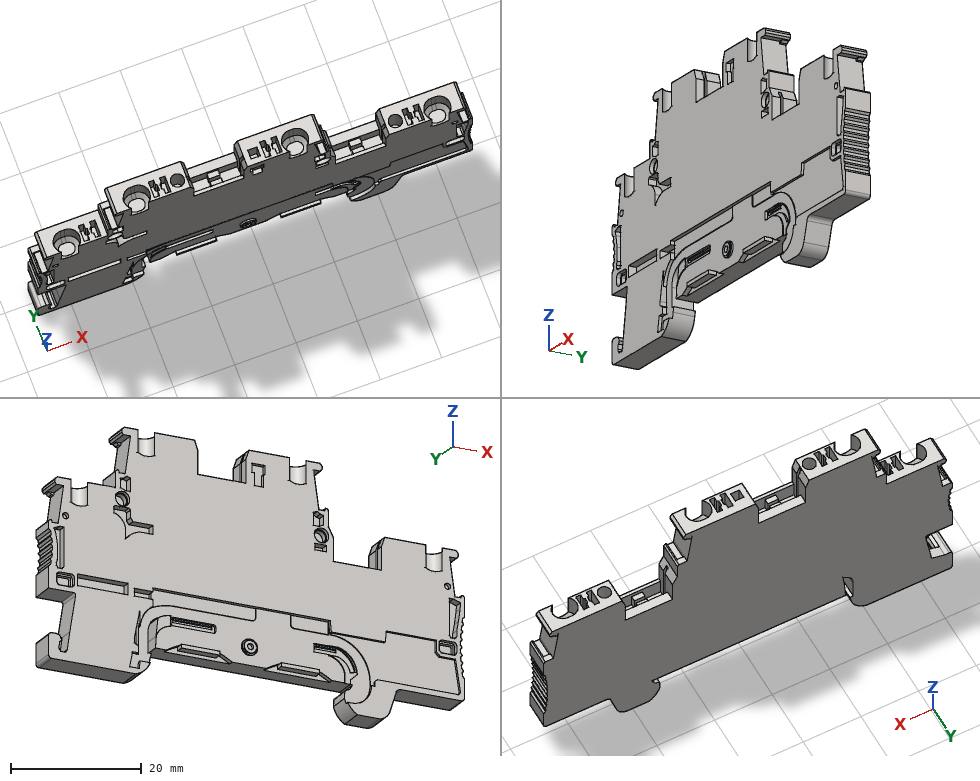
import cadquery as cq
import math


LENGTH = 70.9
THICKNESS = 4.4
HEIGHT = 40.3

TIER_DROP = 10.2
LOWER_TOP = HEIGHT - TIER_DROP
UPPER_LEFT = 11.4
UPPER_RIGHT = 47.7
LEDGE_DROP = 7.2

RECESS_DEPTH = 5.5
RECESS_WIDTH = 8.15
UPPER_RECESS_X = 25.45
LOWER_RECESS_X = 48.6
RECESS_CHAMFER_X = 0.6
RECESS_CHAMFER_Z = 1.6

PANEL_DEPTH = 0.4
PLATE_DEPTH = 0.6
PLATE_POCKET_DEPTH = 0.7
CRESCENT_DEPTH = 0.7
ARCH_DEPTH = 1.4
GROOVE_STEP_DEPTH = 1.0
GROOVE_DEPTH = 1.4
POCKET_DEPTH = 1.4
SMALL_POCKET_DEPTH = 0.7
HOOK_SLOT_DEPTH = 2.6
RAISED_FACE = 0.1

FOOT_TOP = 11.5
FOOT_INNER_X = 17.2
CORNER_RADIUS = 0.6
CORNER_SETBACK = CORNER_RADIUS * (1 - math.sqrt(0.5))
RIGHT_BOTTOM = 5.45
PLATE_BOTTOM = 5.1
HOUSING_EDGE = 14.7
BAND_TOP = 12.55
POCKET_FLOOR = 12.75
BAND_LEFT = 15.6
BAND_RIGHT = 55.0

TOOTH_DEPTH = 0.3
GRIP_SAG = 0.4
LEFT_GRIP_TOP = 21.3
RIGHT_GRIP_TOP = 19.35
LEFT_GRIP_BOTTOM = 15.1
RIGHT_GRIP_BOTTOM = 9.15
LEFT_TEETH = 5
RIGHT_TEETH = 8

OPENING_Y = 1.7
WELL_RADIUS = 1.8
WELL_STRAIGHT = 0.65
WELL_Y = 1.4
WELL_DEPTH = 4.55
WELL_CHAMFER = 0.8
WELL_OFFSET = 7.4
WIRE_OFFSET = 12.8
WIRE_WIDTH = 2.7
WIRE_LENGTH = 2.6
WIRE_DEPTH = 3.55
TEST_HOLE_DIAMETER = 2.1
TEST_HOLE_DEPTH = 5.7
TEST_HOLES = ((23.4, HEIGHT), (58.9, LOWER_TOP))
MARKER_HOLE_X = 35.9
MARKER_HOLE_SIZE = 1.5

UPPER_TOWERS = ((UPPER_LEFT, HEIGHT, 0.7), (UPPER_RIGHT, HEIGHT, -0.7))
LOWER_TOWERS = ((0.0, LOWER_TOP, 0.7), (LENGTH, LOWER_TOP, -0.7))


def face_prism(points, depth, start=0.0):
    """Prism on a face outline, running back from y = start to y = depth."""
    plane = cq.Workplane("XZ", origin=(0, start, 0))
    return plane.polyline(points).close().extrude(start - depth)


def face_box(x_min, x_max, z_min, z_max, depth, start=0.0):
    """Box given by its edges on the face, running back from y = start to y = depth."""
    size = (x_max - x_min, depth - start, z_max - z_min)
    return cq.Workplane("XY").box(*size, centered=False).translate((x_min, start, z_min))


def face_disc(x, z, diameter, depth, start=0.0):
    """Cylinder along Y, running back from y = start to y = depth."""
    plane = cq.Workplane("XZ", origin=(0, start, 0))
    return plane.center(x, z).circle(diameter / 2).extrude(start - depth)


def top_cut(x, y, x_size, y_size, top, depth):
    """Rectangular opening sunk from z = top."""
    return cq.Workplane("XY", origin=(x, y, top)).rect(x_size, y_size).extrude(-depth)


def placed(offsets, origin_x, origin_z, direction):
    """Turn offsets from a tower's ledge corner into face points."""
    return [(origin_x + direction * dx, origin_z + dz) for dx, dz in offsets]


def shoulder(ledge_x, top_z, direction):
    """Ledge, leaning wall and overhanging lip at the outer end of a tower, from bottom to top."""
    offsets = [
        (0, -LEDGE_DROP - 0.3), (0.4, -LEDGE_DROP), (2.4, -LEDGE_DROP),
        (3.6, -1.3), (1.9, -1.3), (1.5, -0.9), (1.5, -0.5), (2.1, 0),
    ]
    return placed(offsets, ledge_x, top_z, direction)


def grip(edge_x, z_bottom, z_top, teeth, inward):
    """Toothed, hollow finger grip from bottom to top."""
    pitch = (z_top - z_bottom) / teeth
    points = [(edge_x, z_bottom)]
    for tooth in range(teeth):
        for share, extra in ((0.3, TOOTH_DEPTH), (0.7, TOOTH_DEPTH), (1.0, 0.0)):
            z = z_bottom + (tooth + share) * pitch
            sag = GRIP_SAG * math.sin(math.pi * (z - z_bottom) / (z_top - z_bottom))
            points.append((edge_x + inward * (sag + extra), z))
    return points


def recess(x_left, top_z, left_chamfer_x=RECESS_CHAMFER_X):
    """Bridge recess between two towers, from left to right."""
    x_right = x_left + RECESS_WIDTH
    floor = top_z - RECESS_DEPTH
    return [
        (x_left - left_chamfer_x, top_z), (x_left, top_z - RECESS_CHAMFER_Z),
        (x_left, floor), (x_right, floor),
        (x_right, top_z - RECESS_CHAMFER_Z), (x_right + RECESS_CHAMFER_X, top_z),
    ]


def make_body():
    """Housing cut from its outline: the towers and grips first, then the rail feet clockwise."""
    upper_edge = grip(0.0, LEFT_GRIP_BOTTOM, LEFT_GRIP_TOP, LEFT_TEETH, 1)
    upper_edge += shoulder(*LOWER_TOWERS[0])
    upper_edge += [(UPPER_LEFT, LOWER_TOP)]
    upper_edge += shoulder(*UPPER_TOWERS[0])
    upper_edge += recess(UPPER_RECESS_X, HEIGHT)
    upper_edge += shoulder(*UPPER_TOWERS[1])[::-1]
    upper_edge += recess(LOWER_RECESS_X, LOWER_TOP, LOWER_RECESS_X - UPPER_RIGHT)
    upper_edge += shoulder(*LOWER_TOWERS[1])[::-1]
    upper_edge += grip(LENGTH, RIGHT_GRIP_BOTTOM, RIGHT_GRIP_TOP, RIGHT_TEETH, -1)[::-1]

    outline = cq.Workplane("XZ").moveTo(0, FOOT_TOP).polyline(upper_edge, includeCurrent=True)
    outline = outline.lineTo(LENGTH, RIGHT_BOTTOM + CORNER_RADIUS)
    outline = outline.threePointArc(
        (LENGTH - CORNER_SETBACK, RIGHT_BOTTOM + CORNER_SETBACK), (LENGTH - CORNER_RADIUS, RIGHT_BOTTOM)
    )
    outline = outline.lineTo(60.1, RIGHT_BOTTOM).threePointArc((59.5, 5.25), (59.2, 4.75))
    outline = outline.lineTo(58.2, 1.55).threePointArc((57.5, 0.5), (56.4, 0))
    outline = outline.lineTo(52.6, 0).threePointArc((51.5, 1.0), (50.7, 2.55))
    outline = outline.lineTo(50.75, 3.75).lineTo(51.7, 4.3).lineTo(52.05, 4.95).lineTo(51.75, PLATE_BOTTOM)
    outline = outline.lineTo(18.5, PLATE_BOTTOM).lineTo(18.65, 7.1).lineTo(19.0, 10.2)
    outline = outline.threePointArc((17.65, 9.1), (FOOT_INNER_X, 7.4))
    outline = outline.lineTo(FOOT_INNER_X, 4.1).lineTo(17.8, 4.05).lineTo(17.6, 3.2)
    outline = outline.threePointArc((16.6, 1.05), (14.9, 0))
    outline = outline.lineTo(CORNER_RADIUS, 0)
    outline = outline.threePointArc((CORNER_SETBACK, CORNER_SETBACK), (0, CORNER_RADIUS))
    outline = outline.lineTo(0, 3.75).threePointArc((0.2, 4.1), (0.6, 4.25))
    outline = outline.lineTo(1.35, 4.25).lineTo(3.6, 4.9).lineTo(4.6, 11.05)
    outline = outline.threePointArc((4.55, 11.35), (4.3, FOOT_TOP)).close()
    return outline.extrude(-THICKNESS)


def well(x, top_z):
    """Screwdriver well: an oblong hole with a bevelled floor that breaks through the face."""
    plane = cq.Workplane("XY", origin=(x, WELL_Y, top_z))
    oblong = plane.slot2D(2 * WELL_RADIUS + WELL_STRAIGHT, 2 * WELL_RADIUS).extrude(-WELL_DEPTH)
    return oblong.faces("<Z").chamfer(WELL_CHAMFER)


def wire_entry(x, top_z):
    """Square wire entry, split in two by a waisted rib."""
    half_length = WIRE_LENGTH / 2
    entry = top_cut(x, OPENING_Y, WIRE_WIDTH, WIRE_LENGTH, top_z, WIRE_DEPTH)
    rib_half = [(0.5, half_length), (0.5, 0.6), (0.2, 0.4), (0.2, -0.4), (0.5, -0.6), (0.5, -half_length)]
    rib_points = rib_half + [(-dx, dy) for dx, dy in reversed(rib_half)]
    plane = cq.Workplane("XY", origin=(x, OPENING_Y, top_z))
    return entry.cut(plane.polyline(rib_points).close().extrude(-WIRE_DEPTH))


def ledge_notch(ledge_x, top_z, direction):
    """Shallow notch in the ledge, closed by a rim at the back."""
    rim_y = 3.4
    offsets = [(0.7, 0), (2.4, 0), (2.3, -0.4), (0.9, -0.4)]
    return face_prism(placed(offsets, ledge_x, top_z - LEDGE_DROP, direction), rim_y)


def lip_web(ledge_x, top_z, direction):
    """Small web under the lip, at the back only."""
    web_y = 3.25
    offsets = [(2.4, -1.3), (3.6, -1.3), (3.5, -1.7), (3.0, -1.6)]
    return face_prism(placed(offsets, ledge_x, top_z, direction), THICKNESS, web_y)


def upper_ledge_pockets(ledge_x, top_z, direction):
    """Quadrilateral pocket and stepped round hole below an upper ledge."""
    rim_diameter, hole_diameter, hole_depth = 2.4, 2.05, 1.8
    offsets = [
        (1.2, -10.1), (1.2, -8.5), (2.0, -8.4), (2.7, -8.0), (3.6, -8.2), (3.6, -10.4), (2.4, -10.4),
    ]
    hole_x, hole_z = ledge_x + direction * 1.7, top_z - 11.85
    pockets = face_prism(placed(offsets, ledge_x, top_z, direction), POCKET_DEPTH)
    pockets = pockets.union(face_disc(hole_x, hole_z, rim_diameter, SMALL_POCKET_DEPTH))
    return pockets.union(face_disc(hole_x, hole_z, hole_diameter, hole_depth))


def lower_ledge_pockets(ledge_x, top_z, direction, bottom_z, outer_wall):
    """Long pocket behind a finger grip, and the pin hole above it."""
    pin_diameter = 1.0
    grip_pocket = [
        (3.7, 22.0), (2.7, 22.0), *outer_wall,
        (1.9, bottom_z + 0.85), (1.9, bottom_z + 0.35), (2.3, bottom_z), (3.3, bottom_z), (3.7, bottom_z + 0.35),
    ]
    pockets = face_prism(placed(grip_pocket, ledge_x, 0, direction), POCKET_DEPTH)
    pin_hole = face_disc(ledge_x + direction * 4.1, top_z - 6.2, pin_diameter, SMALL_POCKET_DEPTH)
    return pockets.union(pin_hole)


def bridge_slot(x_left, top_z):
    """Bridge slot in a recess floor: two deep ends, a low saddle, and a groove along its middle."""
    slot_width, slot_depth = 2.3, 2.85
    saddle_depth, saddle_width = 0.7, 1.85
    groove_width, groove_depth = 0.5, 0.6
    floor = top_z - RECESS_DEPTH
    middle = x_left + RECESS_WIDTH / 2
    slot = top_cut(middle, OPENING_Y, RECESS_WIDTH, slot_width, floor, slot_depth)
    saddle = top_cut(middle, OPENING_Y, saddle_width, slot_width, floor - saddle_depth, slot_depth)
    groove_reach = RECESS_WIDTH + 2 * groove_depth
    grooves = top_cut(middle, OPENING_Y, groove_reach, groove_width, top_z, RECESS_DEPTH + slot_depth)
    return slot.cut(saddle).union(grooves)


def locating_socket(x, z):
    """Rounded rectangular socket with a stepped rim."""
    width, height, step, corner = 3.0, 2.1, 0.3, 0.6
    rim = face_box(x - width / 2, x + width / 2, z - height / 2, z + height / 2, SMALL_POCKET_DEPTH)
    core = face_box(
        x - width / 2 + step, x + width / 2 - step, z - height / 2 + step, z + height / 2 - step, 1.4
    )
    return rim.edges("|Y").fillet(corner).union(core.edges("|Y").fillet(corner - step))


def marker_window():
    """T-shaped window in the upper right tower."""
    head = face_box(34.7, 36.9, 36.7, 38.2, SMALL_POCKET_DEPTH)
    return head.union(face_box(35.1, 36.65, 34.6, 36.7, SMALL_POCKET_DEPTH))


def contact_window():
    """Branched pocket below the upper left ledge."""
    outline = cq.Workplane("XZ").moveTo(11.35, 27.1).lineTo(13.7, 27.1).lineTo(14.0, 26.8)
    outline = outline.lineTo(14.0, 25.5).lineTo(14.4, 24.95).lineTo(17.8, 24.95).lineTo(17.8, 23.5)
    outline = outline.lineTo(15.6, 23.5).threePointArc((14.3, 23.0), (13.1, 21.9))
    outline = outline.lineTo(13.1, 23.7).threePointArc((12.4, 25.1), (11.1, 25.9)).lineTo(11.1, 26.9).close()
    return outline.extrude(-POCKET_DEPTH)


def contact_slot():
    """Small rectangular pocket below the upper right ledge."""
    return face_box(45.4, 47.35, 25.9, 26.95, POCKET_DEPTH)


def right_panel():
    """Sunken panel at the lower right, framed by a rim."""
    points = [
        (48.2, 12.8), (57.35, 12.8), (57.6, HOUSING_EDGE), (66.1, HOUSING_EDGE), (66.1, 12.75), (66.7, 12.1),
        (69.35, 12.1), (70.2, 6.8), (69.9, 6.4), (56.0, 6.4), (55.65, 6.0), (55.65, 5.25), (53.9, 5.25),
        (48.2, BAND_TOP - 0.7),
    ]
    return face_prism(points, PANEL_DEPTH)


def plate_recess():
    """Sunken plate below the housing edge, with its arched bands over both rail feet."""
    outline = cq.Workplane("XZ").moveTo(17.8, HOUSING_EDGE).lineTo(48.0, HOUSING_EDGE)
    outline = outline.lineTo(48.2, BAND_TOP).threePointArc((53.1, 10.6), (BAND_RIGHT, 6.1))
    outline = outline.lineTo(BAND_RIGHT, 4.95).threePointArc((54.1, 2.85), (51.2, 1.8))
    outline = outline.lineTo(49.6, 1.8).lineTo(49.6, 2.3)
    outline = outline.lineTo(BAND_LEFT, 2.3).lineTo(BAND_LEFT, 7.95).threePointArc((16.25, 9.9), (17.8, 11.6))
    return outline.close().extrude(-PLATE_DEPTH)


def plate_pockets():
    """Deeper pockets in and beside the sunken plate."""
    end_radius = 0.65
    left_pocket = cq.Workplane("XZ").moveTo(17.8, HOUSING_EDGE).lineTo(35.6, HOUSING_EDGE)
    left_pocket = left_pocket.lineTo(35.6, BAND_TOP).lineTo(21.55, BAND_TOP)
    left_pocket = left_pocket.threePointArc((19.6, 12.3), (17.8, 11.6)).close().extrude(-PLATE_POCKET_DEPTH)
    right_pocket = face_box(41.55, 48.0, BAND_TOP, HOUSING_EDGE, PLATE_POCKET_DEPTH)
    pockets = left_pocket.edges("|Y and >X").edges("<Z").fillet(end_radius)
    pockets = pockets.union(right_pocket.edges("|Y and <X and <Z").fillet(end_radius))
    pockets = pockets.union(face_box(14.6, 17.8, POCKET_FLOOR, 14.05, POCKET_DEPTH))
    pockets = pockets.union(face_box(4.95, 13.55, POCKET_FLOOR, HOUSING_EDGE, POCKET_DEPTH))
    spring_slit = [
        (BAND_LEFT, 3.55), (BAND_LEFT, 10.4), (15.5, 10.4),
        (14.6, 5.8), (14.6, 5.1), (15.3, 4.7), (15.3, 3.55),
    ]
    pockets = pockets.union(face_prism(spring_slit, POCKET_DEPTH))
    toe_pocket = [(14.3, 3.55), (BAND_LEFT, 3.55), (BAND_LEFT, 2.3), (15.45, 1.0), (13.8, 1.0)]
    return pockets.union(face_prism(toe_pocket, PLATE_DEPTH))


def hook_slot():
    """Slot that frees the left hook, closed at the back."""
    points = [
        (1.35, 4.25), (1.9, 4.05), (2.3, 3.3), (1.9, 2.9), (1.8, 2.1), (1.85, 1.8),
        (2.1, 1.4), (2.9, 1.4), (3.2, 1.9), (3.6, 4.9), (3.6, 5.7), (1.35, 5.7),
    ]
    return face_prism(points, HOOK_SLOT_DEPTH)


def crescents():
    """Curved hollows at both ends of the plate, leading into the grooves."""
    left = cq.Workplane("XZ").moveTo(18.6, 5.7).threePointArc((19.2, 8.15), (21.1, 9.15)).lineTo(21.1, 10.9)
    left = left.threePointArc((18.9, 10.15), (17.3, 7.8)).close().extrude(-CRESCENT_DEPTH)
    right = cq.Workplane("XZ").moveTo(50.75, PLATE_BOTTOM).lineTo(50.75, 6.75)
    right = right.threePointArc((49.9, 8.3), (48.1, 9.15)).lineTo(48.1, 10.8).lineTo(49.6, 10.8)
    right = right.threePointArc((51.9, 9.4), (52.9, 6.9)).lineTo(51.75, 5.8).lineTo(51.75, PLATE_BOTTOM)
    return left.union(right.close().extrude(-CRESCENT_DEPTH))


def underside_arch(middle):
    """Shallow arched hollow at the lower edge of the plate."""
    half_width, half_flat, top = 5.6, 3.25, 6.3
    arch = cq.Workplane("XZ").moveTo(middle - half_width, PLATE_BOTTOM)
    arch = arch.threePointArc((middle - 4.6, 5.7), (middle - half_flat, top)).lineTo(middle + half_flat, top)
    arch = arch.threePointArc((middle + 4.6, 5.7), (middle + half_width, PLATE_BOTTOM))
    return arch.close().extrude(-ARCH_DEPTH)


def arch_bar(middle):
    """Raised bar inside an underside arch."""
    half_length = 3.25
    return face_box(middle - half_length, middle + half_length, 5.7, 6.3, ARCH_DEPTH, RAISED_FACE)


def plate_grooves():
    """Stepped grooves in the plate: a straight one, and one that bends down over the right hook."""
    bottom, step, top = 9.3, 10.0, 10.7
    bend_x, bent_left = 49.5, 45.5
    end_radius = 0.4
    straight = face_box(21.1, 28.8, bottom, top, GROOVE_STEP_DEPTH).edges("|Y").fillet(end_radius)
    straight = straight.union(face_box(21.55, 28.35, step, top - 0.2, GROOVE_DEPTH))
    bent = cq.Workplane("XZ").moveTo(bent_left, bottom).lineTo(bend_x, bottom)
    bent = bent.threePointArc((50.9, 8.5), (51.75, 7.0)).lineTo(52.6, 7.2)
    bent = bent.threePointArc((51.55, 9.4), (bend_x, top)).lineTo(bent_left, top).close()
    bent = bent.extrude(-GROOVE_STEP_DEPTH)
    bent = bent.union(face_box(bent_left + 0.3, bend_x, step, top - 0.2, GROOVE_DEPTH))
    return straight.union(bent)


def plate_boss():
    """Stepped round boss at the middle of the plate, with a blind hole."""
    x, z = 34.45, 8.0
    base_diameter, rim_diameter, hole_diameter = 2.6, 2.1, 1.0
    boss = face_disc(x, z, base_diameter, PLATE_DEPTH, PLATE_DEPTH / 2)
    boss = boss.union(face_disc(x, z, rim_diameter, PLATE_DEPTH, RAISED_FACE))
    return boss.cut(face_disc(x, z, hole_diameter, PLATE_DEPTH))


SOCKETS = ((2.9, 13.4), (68.05, 13.8))
ARCH_MIDDLES = (25.95, 43.0)
GRIP_POCKETS = (
    (15.1, ((1.3, 21.55), (1.7, 20.8), (2.2, 18.8), (2.2, 16.5))),
    (15.5, ((1.0, 21.55), (1.1, 20.55), (1.5, 18.4), (1.9, 16.9))),
)

body = make_body()

for cutter in (right_panel(), plate_recess(), plate_pockets(), hook_slot(), crescents(), plate_grooves()):
    body = body.cut(cutter)
for arch_middle in ARCH_MIDDLES:
    body = body.cut(underside_arch(arch_middle)).union(arch_bar(arch_middle))
body = body.union(plate_boss())

for tower in UPPER_TOWERS + LOWER_TOWERS:
    ledge_end, tower_top, inward_side = tower
    body = body.cut(well(ledge_end + inward_side * WELL_OFFSET, tower_top))
    body = body.cut(wire_entry(ledge_end + inward_side * WIRE_OFFSET, tower_top))
    body = body.cut(ledge_notch(*tower)).union(lip_web(*tower))
for tower in UPPER_TOWERS:
    body = body.cut(upper_ledge_pockets(*tower))
for tower, grip_pocket_shape in zip(LOWER_TOWERS, GRIP_POCKETS):
    body = body.cut(lower_ledge_pockets(*tower, *grip_pocket_shape))

for hole_x, hole_top in TEST_HOLES:
    test_hole = cq.Workplane("XY", origin=(hole_x, OPENING_Y, hole_top)).circle(TEST_HOLE_DIAMETER / 2)
    body = body.cut(test_hole.extrude(-TEST_HOLE_DEPTH))
body = body.cut(top_cut(MARKER_HOLE_X, OPENING_Y, MARKER_HOLE_SIZE, MARKER_HOLE_SIZE, HEIGHT, WIRE_DEPTH))

body = body.cut(bridge_slot(UPPER_RECESS_X, HEIGHT)).cut(bridge_slot(LOWER_RECESS_X, LOWER_TOP))
body = body.cut(marker_window()).cut(contact_window())
body = body.cut(contact_slot())
for socket_x, socket_z in SOCKETS:
    body = body.cut(locating_socket(socket_x, socket_z))

result = body